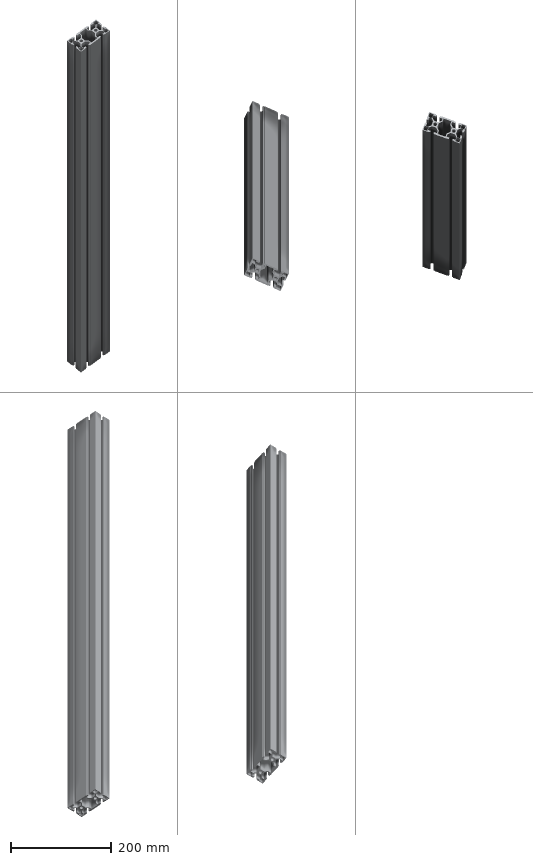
import cadquery as cq

LENGTH = 1000
MODULE = 40
HALF = MODULE / 2

REBATE_HALF = 6.0
MOUTH_HALF = 3.5
CAVITY_HALF = 9.8
FLOOR_HALF = 4.8
GROOVE_HALF = 4.0

REBATE_DEPTH = 0.8
LIP_THICKNESS = 4.0
CHEEK_DEPTH = 8.6

CORE_HALF = 6.4
CORE_GROOVED_HALF = 6.0
CORE_WEB = 6.2
CORE_BORE_DIAMETER = 7.0

SIDE_WALL = 3.0
HOLLOW_SIDE_HALF = 8.4
HOLLOW_SHOULDER_X = 9.7
HOLLOW_END_X = 4.5

CORNER_WALL = 1.6
CORNER_SIZE = 8.2

MODULES = [((0, HALF, 0), 0), ((0, -HALF, 0), 180)]


def mirrored_prism(right_side):
    """Extrude the outline made of a right-hand side and its mirror image across the Y axis."""
    left_side = [(-x, y) for x, y in reversed(right_side)]
    return cq.Workplane("XY").polyline(right_side + left_side).close().extrude(LENGTH)


def slot_cutter():
    """T-slot open towards +Y, placed for a module centred on the origin."""
    rebate = HALF - REBATE_DEPTH
    lip = HALF - LIP_THICKNESS
    cheek = HALF - CHEEK_DEPTH
    return mirrored_prism([
        (REBATE_HALF, HALF),
        (REBATE_HALF, rebate),
        (MOUTH_HALF, rebate),
        (MOUTH_HALF, lip),
        (CAVITY_HALF, lip),
        (CAVITY_HALF, cheek),
        (FLOOR_HALF, CORE_HALF),
        (GROOVE_HALF, CORE_HALF),
        (GROOVE_HALF, CORE_GROOVED_HALF),
    ])


def central_hollow():
    """Hollow with full-width sides, tapering above and below to the core faces."""
    wall_x = HALF - SIDE_WALL
    end_y = HALF - CORE_WEB
    upper = [
        (HOLLOW_END_X, end_y),
        (HOLLOW_SHOULDER_X, HOLLOW_SIDE_HALF),
        (wall_x, HOLLOW_SIDE_HALF),
    ]
    lower = [(x, -y) for x, y in reversed(upper)]
    return mirrored_prism(upper + lower)


def core_bores():
    centres = [(x, y) for (x, y, _), _ in MODULES]
    return cq.Workplane("XY").pushPoints(centres).circle(CORE_BORE_DIAMETER / 2).extrude(LENGTH)


def corner_hollows():
    inset = CORNER_WALL + CORNER_SIZE / 2
    x = HALF - inset
    y = MODULE - inset
    centres = [(x, y), (-x, y), (-x, -y), (x, -y)]
    return cq.Workplane("XY").pushPoints(centres).rect(CORNER_SIZE, CORNER_SIZE).extrude(LENGTH)


body = cq.Workplane("XY").rect(MODULE, 2 * MODULE).extrude(LENGTH)

slot = slot_cutter()
for centre, end_angle in MODULES:
    for angle in (end_angle, 90, -90):
        turned_slot = slot.rotate((0, 0, 0), (0, 0, 1), angle)
        body = body.cut(turned_slot.translate(centre))

result = body.cut(central_hollow()).cut(core_bores()).cut(corner_hollows())